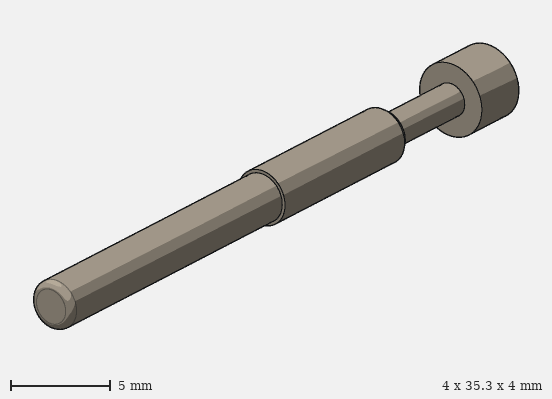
import cadquery as cq

total_length = 35.3
head_diameter = 4.0
head_length = 3.0
stem_diameter = 1.8
stem_length = 5.3
sleeve_diameter = 3.0
sleeve_length = 10.0
sleeve_chamfer_length = 0.32
sleeve_chamfer_depth = 0.2
tail_diameter = 2.65
tail_end_radius = 0.4

head_start = total_length - head_length
sleeve_front = head_start - stem_length
sleeve_back = sleeve_front - sleeve_length


def cylinder_along_y(diameter, start, length):
    """Solid cylinder on the Y axis, running from start towards +Y."""
    axis = cq.Vector(0, 1, 0)
    return cq.Workplane(cq.Solid.makeCylinder(diameter / 2, length, cq.Vector(0, start, 0), axis))


tail = cylinder_along_y(tail_diameter, 0, sleeve_back).faces("<Y").edges().fillet(tail_end_radius)

sleeve = (
    cylinder_along_y(sleeve_diameter, sleeve_back, sleeve_length)
    .faces(">Y")
    .edges()
    .chamfer(sleeve_chamfer_length, sleeve_chamfer_depth)
)

stem = cylinder_along_y(stem_diameter, sleeve_front, stem_length)
head = cylinder_along_y(head_diameter, head_start, head_length)

result = tail.union(sleeve).union(stem).union(head)